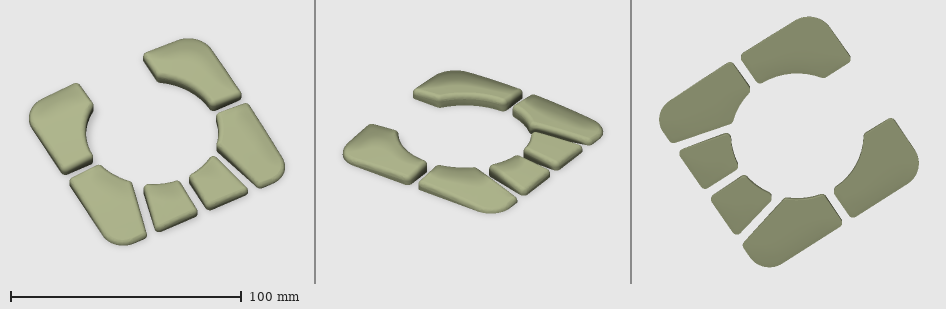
import cadquery as cq
import math

LENGTH_Y = 88.4
LEFT_REACH = 39.1
RIGHT_REACH = 47.3
RING_RADIUS = 28.7

PAD_GAP = 4.0
SIDE_PAD_GAP = 4.2
SPLIT_X = 3.0
LEFT_END_Y = 15.6
SLANT_ANGLE = 14.0
SLANT_OUTER_Y = 25.4

LEFT_CORNER_RADIUS = 11.05
RIGHT_CORNER_RADIUS = 10.1
EDGE_RADIUS = 2.1

DOME_RADIUS = 362.4
DOME_TOP = 6.6

HALF_LENGTH = LENGTH_Y / 2
HALF_GAP = PAD_GAP / 2
SLANT = math.radians(SLANT_ANGLE)
HALF_GAP_IN_Y = HALF_GAP / math.cos(SLANT)

SKIRT = EDGE_RADIUS
BLANK_HEIGHT = SKIRT + DOME_TOP
SKIRT_CUT = 2 * LENGTH_Y


def slant_y(x, offset):
    """Y at x on a line parallel to the slanted gap, offset along Y from its middle."""
    return SLANT_OUTER_Y + offset - (RIGHT_REACH - x) * math.tan(SLANT)


def blank_plane():
    return cq.Workplane("XY").workplane(offset=-SKIRT)


def outline_blank(outline):
    return blank_plane().polyline(outline).close().extrude(BLANK_HEIGHT)


def rounded_outer_corner(blank, side, radius):
    """Round the vertical corner at the +Y end of the given X side (">X" or "<X")."""
    return blank.faces(side).edges("|Z").edges(">Y").fillet(radius)


def finished_pad(blank):
    """Cut the ring opening and the domed top, round the edges and trim at Z = 0."""
    opening = blank_plane().circle(RING_RADIUS).extrude(BLANK_HEIGHT)
    dome = cq.Workplane("XY").sphere(DOME_RADIUS).translate((0, 0, DOME_TOP - DOME_RADIUS))
    domed = blank.cut(opening).intersect(dome)
    rounded = domed.edges("not <Z").fillet(EDGE_RADIUS)
    below_base = cq.Workplane("XY").rect(SKIRT_CUT, SKIRT_CUT).extrude(-SKIRT)
    return rounded.cut(below_base)


def left_pad():
    end_x = SPLIT_X - HALF_GAP
    blank = outline_blank([
        (-LEFT_REACH, HALF_LENGTH),
        (end_x, HALF_LENGTH),
        (end_x, LEFT_END_Y),
        (-LEFT_REACH, LEFT_END_Y),
    ])
    return finished_pad(rounded_outer_corner(blank, "<X", LEFT_CORNER_RADIUS))


def corner_pad():
    start_x = SPLIT_X + HALF_GAP
    blank = outline_blank([
        (start_x, HALF_LENGTH),
        (RIGHT_REACH, HALF_LENGTH),
        (RIGHT_REACH, slant_y(RIGHT_REACH, HALF_GAP_IN_Y)),
        (start_x, slant_y(start_x, HALF_GAP_IN_Y)),
    ])
    return finished_pad(rounded_outer_corner(blank, ">X", RIGHT_CORNER_RADIUS))


def side_pad():
    inner_y = SIDE_PAD_GAP / 2
    blank = outline_blank([
        (0, inner_y),
        (RIGHT_REACH, inner_y),
        (RIGHT_REACH, slant_y(RIGHT_REACH, -HALF_GAP_IN_Y)),
        (0, slant_y(0, -HALF_GAP_IN_Y)),
    ])
    return finished_pad(blank)


pads = []
for make_pad in (left_pad, corner_pad, side_pad):
    pad = make_pad()
    pads.extend(pad.solids().vals())
    pads.extend(pad.mirror("XZ").solids().vals())

result = cq.Compound.makeCompound(pads)